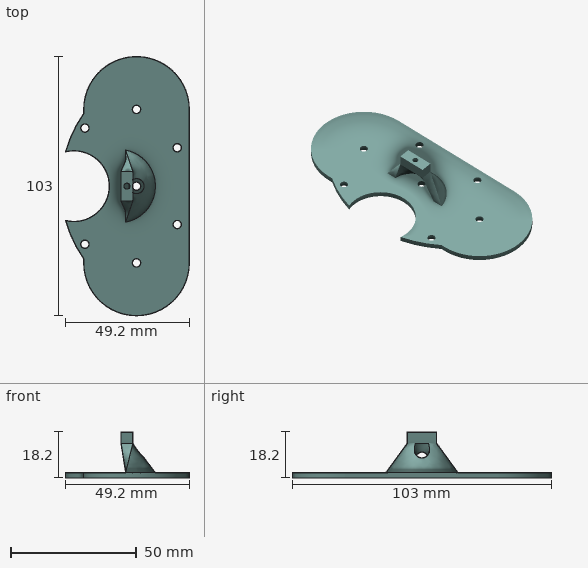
import cadquery as cq
import math

plate_thickness = 2.2
plate_length = 103.0
end_radius = 21.0
end_center_y = plate_length / 2 - end_radius
lobe_tip_x = -28.2
lobe_tip_y = 13.6
lobe_root_y = 28.8
lobe_radius = 50.5
notch_radius = 14.0
notch_center_x = lobe_tip_x + math.sqrt(notch_radius**2 - lobe_tip_y**2)

screw_diameter = 3.2
lobe_hole = (-20.5, 23.1)
edge_hole = (16.2, 15.2)

total_height = 18.2
block_height = 4.4
block_bottom = total_height - block_height
block_left = -6.2
block_right = -1.4
block_center_x = (block_left + block_right) / 2
block_half_width = 5.9
pin_hole_diameter = 2.4
pin_hole_depth = block_height

tip_x = -4.3
outer_tip_y = 14.3
outer_arc_x = 7.5
inner_tip_y = 10.1
inner_arc_x = 4.4
access_diameter = 6.0


def make_plate():
    outline = (
        cq.Workplane("XY")
        .moveTo(end_radius, -end_center_y)
        .lineTo(end_radius, end_center_y)
        .threePointArc((0, end_center_y + end_radius), (-end_radius, end_center_y))
        .lineTo(-end_radius, lobe_root_y)
        .radiusArc((lobe_tip_x, lobe_tip_y), -lobe_radius)
        .threePointArc((notch_center_x + notch_radius, 0), (lobe_tip_x, -lobe_tip_y))
        .radiusArc((-end_radius, -lobe_root_y), -lobe_radius)
        .lineTo(-end_radius, -end_center_y)
        .threePointArc((0, -end_center_y - end_radius), (end_radius, -end_center_y))
        .close()
    )
    return outline.extrude(plate_thickness)


def make_support():
    """Ruled transition from the crescent foot to the underside of the block."""
    foot = (
        cq.Workplane("XY", origin=(0, 0, plate_thickness))
        .moveTo(tip_x, -outer_tip_y)
        .threePointArc((outer_arc_x, 0), (tip_x, outer_tip_y))
        .lineTo(tip_x, inner_tip_y)
        .threePointArc((inner_arc_x, 0), (tip_x, -inner_tip_y))
        .close()
    )
    head = (
        cq.Workplane("XY", origin=(0, 0, block_bottom))
        .moveTo(block_right, -block_half_width)
        .lineTo(block_right, block_half_width)
        .lineTo(block_left, block_half_width)
        .lineTo(block_left, -block_half_width)
        .close()
    )
    loft = cq.Solid.makeLoft([foot.val(), head.val()], True)
    access = (
        cq.Workplane("XY", origin=(0, 0, plate_thickness))
        .circle(access_diameter / 2)
        .extrude(block_bottom - plate_thickness)
    )
    return cq.Workplane(loft).cut(access)


def make_block():
    block = (
        cq.Workplane("XY", origin=(block_center_x, 0, block_bottom))
        .rect(block_right - block_left, 2 * block_half_width)
        .extrude(block_height)
    )
    pin_hole = (
        cq.Workplane("XY", origin=(block_center_x, 0, total_height))
        .circle(pin_hole_diameter / 2)
        .extrude(-pin_hole_depth)
    )
    return block.cut(pin_hole)


def make_screw_holes():
    points = [(0, 0)]
    for x, y in (lobe_hole, edge_hole, (0, end_center_y)):
        points += [(x, y), (x, -y)]
    return cq.Workplane("XY").pushPoints(points).circle(screw_diameter / 2).extrude(plate_thickness)


result = make_plate().cut(make_screw_holes()).union(make_support()).union(make_block())